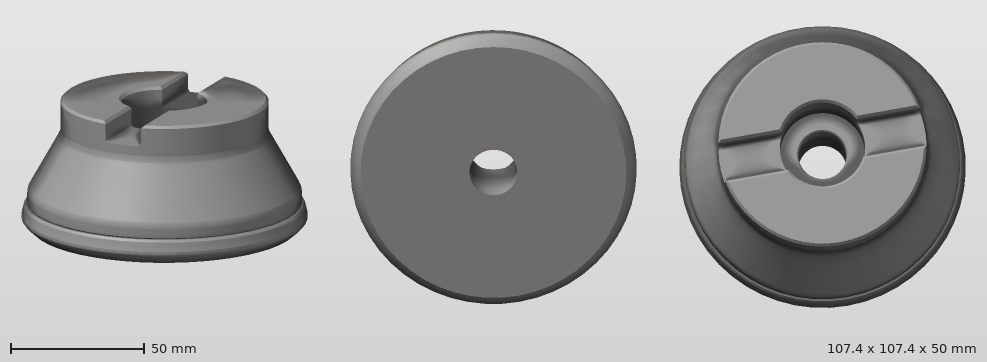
import cadquery as cq

total_height = 50.0
ring_height = 9.5

outer_radius = 53.7
ring_bottom_radius = 49.8
ring_foot_radius = 50.4
ring_foot_level = 0.5
ring_bevel_middle_radius = 51.8
ring_bevel_middle_level = 1.8
ring_heel_radius = 53.1
ring_heel_level = 3.1
ring_bevel_top_radius = 53.5
ring_bevel_top = 3.8
ring_band_bottom = 4.2
ring_band_top = 5.2
ring_shoulder_radius = 53.2
ring_shoulder_level = 6.8
ring_neck_radius = 52.8
ring_neck_level = 8.7
ring_top_radius = 52.2

skirt_radius = 102.9 / 2
skirt_top = 14.8
skirt_edge_chamfer = 0.4
hub_radius = 78.0 / 2
hub_bottom = 37.0
blend_radius = 5.0
hub_chamfer = 1.0

socket_diameter = 32.0
socket_mouth_diameter = 34.0
socket_floor = 28.3
screw_hole_diameter = 18.0
screw_hole_chamfer = 0.5

slot_width = 14.5
slot_floor = 42.0
slot_fillet = 1.4
slot_chamfer = 1.1


def make_ring():
    """Bevelled cutting ring with the screw hole through it."""
    hole_radius = screw_hole_diameter / 2
    profile = [
        (hole_radius, 0),
        (ring_bottom_radius, 0),
        (ring_foot_radius, ring_foot_level),
        (ring_bevel_middle_radius, ring_bevel_middle_level),
        (ring_heel_radius, ring_heel_level),
        (ring_bevel_top_radius, ring_bevel_top),
        (outer_radius, ring_band_bottom),
        (outer_radius, ring_band_top),
        (ring_shoulder_radius, ring_shoulder_level),
        (ring_neck_radius, ring_neck_level),
        (ring_top_radius, ring_height),
        (hole_radius, ring_height),
    ]
    return cq.Workplane("XZ").polyline(profile).close().revolve(360, (0, 0), (0, 1))


def make_holder_blank():
    """Skirt, cone and hub, with rounded cone ends."""
    profile = [
        (0, ring_height),
        (skirt_radius - skirt_edge_chamfer, ring_height),
        (skirt_radius, ring_height + skirt_edge_chamfer),
        (skirt_radius, skirt_top),
        (hub_radius, hub_bottom),
        (hub_radius, total_height),
        (0, total_height),
    ]
    blank = cq.Workplane("XZ").polyline(profile).close().revolve(360, (0, 0), (0, 1))
    level_margin = 1.1
    cone_ends = cq.selectors.BoxSelector(
        (-outer_radius, -outer_radius, skirt_top - level_margin),
        (outer_radius, outer_radius, hub_bottom + level_margin),
        boundingbox=True,
    )
    blank = blank.edges("%CIRCLE").edges(cone_ends).fillet(blend_radius)
    return blank.faces(">Z").edges().chamfer(hub_chamfer)


def make_bores():
    """Socket with a chamfered mouth, and the screw hole below it."""
    socket_radius = socket_diameter / 2
    mouth_radius = socket_mouth_diameter / 2
    hole_radius = screw_hole_diameter / 2
    profile = [
        (0, 0),
        (hole_radius, 0),
        (hole_radius, socket_floor - screw_hole_chamfer),
        (hole_radius + screw_hole_chamfer, socket_floor),
        (socket_radius, socket_floor),
        (socket_radius, total_height - (mouth_radius - socket_radius)),
        (mouth_radius, total_height),
        (0, total_height),
    ]
    return cq.Workplane("XZ").polyline(profile).close().revolve(360, (0, 0), (0, 1))


def make_slot():
    """Drive slot with rounded floor corners and chamfered top edges."""
    slot_length = 2 * outer_radius
    half_width = slot_width / 2
    channel = (
        cq.Workplane("XY", origin=(0, 0, slot_floor))
        .rect(slot_width, slot_length)
        .extrude(total_height - slot_floor)
        .faces("<Z").edges("|Y").fillet(slot_fillet)
    )
    top_bevel = (
        cq.Workplane("XZ", origin=(0, slot_length / 2, 0))
        .polyline([
            (-half_width, total_height - slot_chamfer),
            (half_width, total_height - slot_chamfer),
            (half_width + slot_chamfer, total_height),
            (-half_width - slot_chamfer, total_height),
        ])
        .close()
        .extrude(slot_length)
    )
    return channel.union(top_bevel)


def make_holder():
    """Arbor holder that stands on the cutting ring."""
    return make_holder_blank().cut(make_bores()).cut(make_slot())


ring = make_ring()
holder = make_holder()

result = cq.Compound.makeCompound([ring.val(), *holder.solids().vals()])